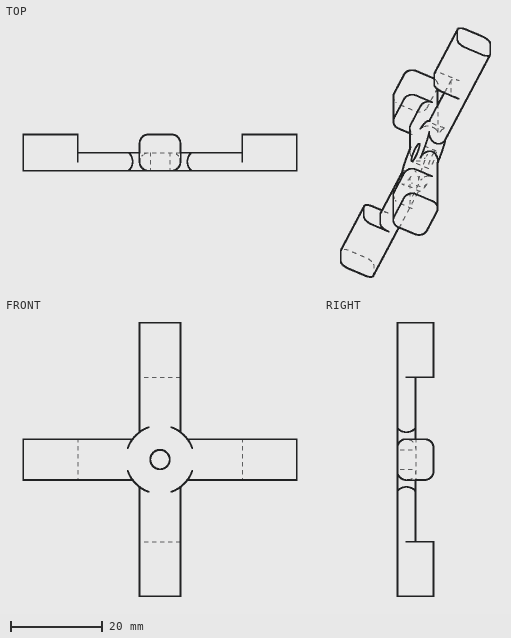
import cadquery as cq

span = 60.0
block_depth = 8.0
arm_width = 9.0
block_length = 12.0
hub_diameter = 15.0
hole_diameter = 4.2

arm_depth = block_depth / 2
edge_radius = arm_depth / 2
front_y = -block_depth / 2
arm_center_y = front_y + arm_depth / 2


def make_arm():
    """Full-round bar running along Z from tip to tip."""
    return (
        cq.Workplane("XY", origin=(0, arm_center_y, -span / 2))
        .slot2D(arm_width, arm_depth)
        .extrude(span)
    )


def make_end_block():
    """Block with rounded long edges at the +Z tip."""
    return (
        cq.Workplane("XY", origin=(0, 0, span / 2 - block_length))
        .rect(arm_width, block_depth)
        .extrude(block_length)
        .edges("|Z")
        .fillet(edge_radius)
    )


def turn_about_y(body, angle):
    return body.rotate((0, 0, 0), (0, 1, 0), angle)


def make_disc(diameter):
    """Cylinder along Y, from the front face to the back of the arms."""
    return (
        cq.Workplane("XZ", origin=(0, front_y, 0))
        .circle(diameter / 2)
        .extrude(-arm_depth)
    )


arm = make_arm()
result = make_disc(hub_diameter).union(arm).union(turn_about_y(arm, 90))

end_block = make_end_block()
for angle in (0, 90, 180, 270):
    result = result.union(turn_about_y(end_block, angle))

result = result.cut(make_disc(hole_diameter))